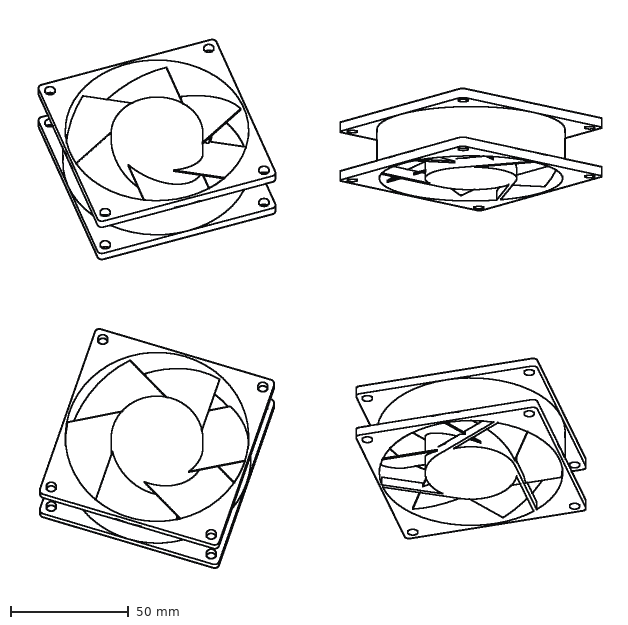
import cadquery as cq
import math

side = 80.0
height = 25.4
flange_thickness = 4.0
corner_radius = 2.0
bore_radius = 39.0
hole_spacing = 71.4
hole_diameter = 4.3

hub_radius = 19.5
hub_rim_fillet = 2.0

blade_count = 6
blade_half_width = 16.6
blade_low = 3.0
blade_high = 20.8
blade_thickness = 0.6
blade_start = 8.0

strut_count = 3
strut_width = 1.6
strut_height = flange_thickness
strut_angle = 30

trim_radius = (bore_radius + side / 2) / 2


def make_flange(bottom):
    return (
        cq.Workplane("XY", origin=(0, 0, bottom))
        .rect(side, side)
        .extrude(flange_thickness)
        .edges("|Z")
        .fillet(corner_radius)
        .faces(">Z")
        .workplane()
        .rect(hole_spacing, hole_spacing, forConstruction=True)
        .vertices()
        .hole(hole_diameter)
    )


def make_housing():
    tube = cq.Workplane("XY").circle(side / 2).extrude(height)
    bore = cq.Workplane("XY").circle(bore_radius).extrude(height)
    flanges = make_flange(0).union(make_flange(height - flange_thickness))
    return flanges.union(tube).cut(bore)


def make_hub():
    return (
        cq.Workplane("XY")
        .circle(hub_radius)
        .extrude(height)
        .faces(">Z")
        .edges()
        .fillet(hub_rim_fillet)
    )


def make_trim():
    return cq.Workplane("XY").circle(trim_radius).extrude(height)


def repeat_around_axis(body, count):
    bodies = body
    for index in range(1, count):
        angle = index * 360 / count
        bodies = bodies.union(body.rotate((0, 0, 0), (0, 0, 1), angle))
    return bodies


def make_blades():
    tilt = math.atan2(blade_high - blade_low, 2 * blade_half_width)
    vertical_thickness = blade_thickness / math.cos(tilt)
    blade = (
        cq.Workplane("YZ", origin=(blade_start, 0, 0))
        .polyline([
            (-blade_half_width, blade_high),
            (blade_half_width, blade_low),
            (blade_half_width, blade_low - vertical_thickness),
            (-blade_half_width, blade_high - vertical_thickness),
        ])
        .close()
        .extrude(side / 2 - blade_start)
        .intersect(make_trim())
    )
    return repeat_around_axis(blade, blade_count)


def make_struts():
    strut = (
        cq.Workplane("XY")
        .center(0, -hub_radius)
        .rect(side / 2, strut_width, centered=False)
        .extrude(strut_height)
        .intersect(make_trim())
        .rotate((0, 0, 0), (0, 0, 1), strut_angle)
    )
    return repeat_around_axis(strut, strut_count)


result = make_housing().union(make_hub()).union(make_blades()).union(make_struts())